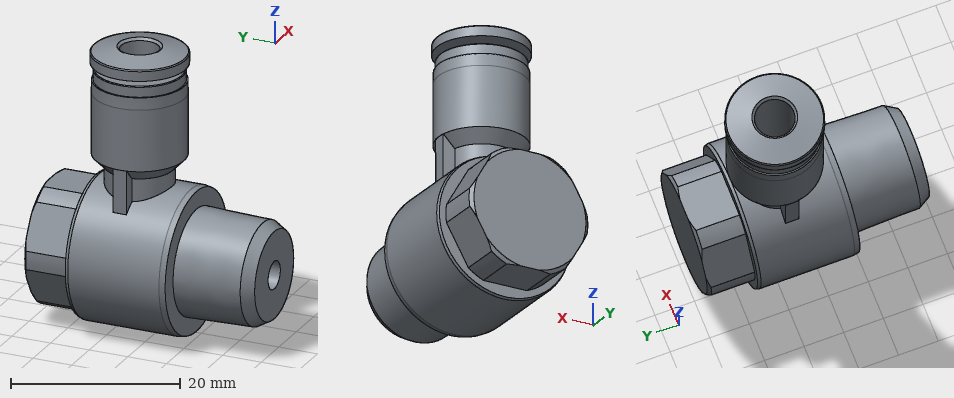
import cadquery as cq
import math


body_radius = 9.1
body_back = 5.6
body_front = -7.33
body_end_radius = 8.95
back_bevel = 0.4
front_bevel = 0.75

head_back = 11.45
head_flats = 15.0
head_corner_radius = 8.07
head_end_radius = 7.6
head_bevel = 0.35

spigot_front = -17.38
spigot_base_radius = 6.7
spigot_tip_radius = 6.45
spigot_end_radius = 5.6
spigot_bevel = 1.5

neck_radius = 4.2
neck_top = 11.08
socket_radius = 5.75
socket_bottom = 12.65
taper_start = 20.53
taper_top = 22.1
taper_top_radius = 5.7
collar_radius = 11.0 / 2
collar_top = 23.47
collar_bevel = 0.1
ring_neck_radius = 6.75 / 2
ring_neck_bevel = 0.3
ring_radius = 11.8 / 2
ring_bottom = 24.3
ring_side_top = 25.52
ring_face_radius = 11.5 / 2
ring_face_edge = 25.65
ring_top = 26.3
rib_thickness = 1.7
rib_bottom = 7.0

passage_radius = 3.5 / 2
tube_bore_radius = 4.78 / 2
tube_bore_bottom = socket_bottom
mouth_radius = 2.7
mouth_depth = 0.32


def make_barrel_and_spigot():
    """Barrel with bevelled rims and the tapered spigot, turned about Y."""
    profile = [
        (0, body_back),
        (body_end_radius, body_back),
        (body_radius, body_back - back_bevel),
        (body_radius, body_front + front_bevel),
        (body_end_radius, body_front),
        (spigot_base_radius, body_front),
        (spigot_tip_radius, spigot_front + spigot_bevel),
        (spigot_end_radius, spigot_front),
        (0, spigot_front),
    ]
    return cq.Workplane("XY").polyline(profile).close().revolve(360, (0, 0), (0, 1))


def make_head():
    """Hexagon with flats facing +Z and -Z, its corners turned round and bevelled."""
    hexagon = (
        cq.Workplane("XZ", origin=(0, head_back, 0))
        .polygon(6, head_flats / math.cos(math.pi / 6))
        .extrude(head_back)
    )
    envelope = (
        cq.Workplane("XY")
        .polyline([
            (0, 0),
            (head_corner_radius, 0),
            (head_corner_radius, head_back - head_bevel),
            (head_end_radius, head_back),
            (0, head_back),
        ])
        .close()
        .revolve(360, (0, 0), (0, 1))
    )
    return hexagon.intersect(envelope)


def make_socket():
    """Neck, socket, collar and release ring, turned about Z."""
    profile = [
        (0, 0),
        (neck_radius, 0),
        (neck_radius, neck_top),
        (socket_radius, socket_bottom),
        (socket_radius, taper_start),
        (taper_top_radius, taper_top),
        (collar_radius, taper_top),
        (collar_radius, collar_top - collar_bevel),
        (collar_radius - collar_bevel, collar_top),
        (ring_neck_radius, collar_top),
        (ring_neck_radius, ring_bottom - ring_neck_bevel),
        (ring_neck_radius + ring_neck_bevel, ring_bottom),
        (ring_radius, ring_bottom),
        (ring_radius, ring_side_top),
        (ring_face_radius, ring_face_edge),
        (mouth_radius, ring_top),
        (0, ring_top),
    ]
    return cq.Workplane("XZ").polyline(profile).close().revolve(360, (0, 0), (0, 1))


def make_ribs():
    """Thin web under the socket that shows as a rib on each side of the neck."""
    height = socket_bottom - rib_bottom
    return cq.Workplane("XY", origin=(0, 0, rib_bottom)).rect(2 * socket_radius, rib_thickness).extrude(height)


def make_passage():
    """Elbow passage with a round corner, the wider tube bore and its flared mouth."""
    spigot_bore = cq.Workplane("XZ").circle(passage_radius).extrude(-spigot_front)
    elbow = cq.Workplane("XY").sphere(passage_radius)
    tube_bore = (
        cq.Workplane("XZ")
        .polyline([
            (0, 0),
            (passage_radius, 0),
            (passage_radius, tube_bore_bottom),
            (tube_bore_radius, tube_bore_bottom),
            (tube_bore_radius, ring_top - mouth_depth),
            (mouth_radius, ring_top),
            (0, ring_top),
        ])
        .close()
        .revolve(360, (0, 0), (0, 1))
    )
    return spigot_bore.union(elbow).union(tube_bore)


solid_body = make_barrel_and_spigot().union(make_head()).union(make_socket()).union(make_ribs())
result = solid_body.cut(make_passage())